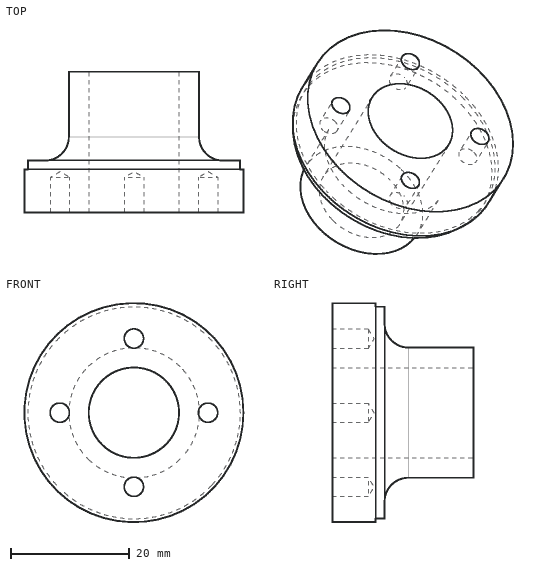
import cadquery as cq
import math

flange_diameter = 37.0
flange_thickness = 7.3
step_diameter = 35.8
step_thickness = 1.5
neck_diameter = 22.0
neck_fillet = 4.0
bore_diameter = 15.2
total_length = 23.8

hole_diameter = 3.25
hole_circle_diameter = 25.0
hole_depth = 6.0
hole_count = 4
drill_point_angle = 118.0

front_y = -total_length / 2
flange_back_y = front_y + flange_thickness
step_back_y = flange_back_y + step_thickness
back_y = front_y + total_length


def make_body():
    """Revolve the half section of flange, step and filleted neck around Y."""
    bore_radius = bore_diameter / 2
    flange_radius = flange_diameter / 2
    step_radius = step_diameter / 2
    neck_radius = neck_diameter / 2
    fillet_sag = neck_fillet * (1 - math.sqrt(0.5))
    return (
        cq.Workplane("XY")
        .moveTo(bore_radius, front_y)
        .lineTo(flange_radius, front_y)
        .lineTo(flange_radius, flange_back_y)
        .lineTo(step_radius, flange_back_y)
        .lineTo(step_radius, step_back_y)
        .lineTo(neck_radius + neck_fillet, step_back_y)
        .threePointArc(
            (neck_radius + fillet_sag, step_back_y + fillet_sag),
            (neck_radius, step_back_y + neck_fillet),
        )
        .lineTo(neck_radius, back_y)
        .lineTo(bore_radius, back_y)
        .close()
        .revolve(360, (0, 0, 0), (0, 1, 0))
    )


def make_hole(angle):
    """Cone-tipped drill shape, placed at an angle on the hole circle."""
    radius = hole_diameter / 2
    tip_length = radius / math.tan(math.radians(drill_point_angle / 2))
    drill = (
        cq.Workplane("XY")
        .moveTo(0, front_y)
        .lineTo(radius, front_y)
        .lineTo(radius, front_y + hole_depth)
        .lineTo(0, front_y + hole_depth + tip_length)
        .close()
        .revolve(360, (0, 0, 0), (0, 1, 0))
    )
    drill = drill.translate((hole_circle_diameter / 2, 0, 0))
    return drill.rotate((0, 0, 0), (0, 1, 0), angle)


result = make_body()
for index in range(hole_count):
    result = result.cut(make_hole(index * 360 / hole_count))